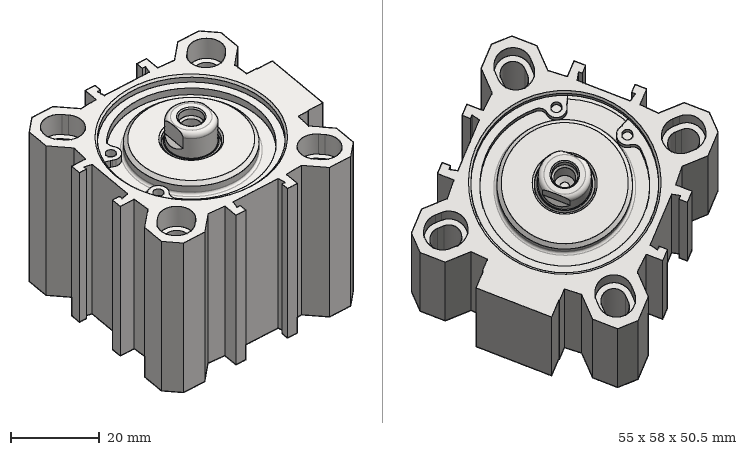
import cadquery as cq
import math

HOUSING_HEIGHT = 44.5
EAR_REACH = 27.5
EAR_CHAMFER = 3.55
EAR_INNER = 17.85
VALLEY = 23.0
WALL = 23.3

RAIL_OUTER = 8.8
RAIL_LIP = 6.0
RAIL_UNDERCUT = 6.9
RAIL_ROOT = 6.45
RAIL_REACH = 27.3
LIP_UNDERSIDE = 25.3

PORT_REACH = 30.5
PORT_STEP = 26.2
PORT_TIP_HALF = 9.15
PORT_ROOT_HALF = 9.35

SCREW_PLACE = 20.55
SCREW_SHIFT = 1.5
SCREW_DIAMETER = 5.8
POCKET_DIAMETER = 8.6
POCKET_DEPTH = 6.0

BORE_DIAMETER = 42.2
BORE_CHAMFER = 0.5
GROOVE_DIAMETER = 44.7
SEAT_DIAMETER = 41.7

RING_TOP = HOUSING_HEIGHT - 2.0
RING_THICKNESS = 2.0
RING_INNER_RADIUS = 19.1
LUG_RADIUS = 2.45
LUG_CENTRE_RADIUS = 18.4
LUG_ANGLE = 27.9
GAP_HALF_ANGLE = 20.4
LUG_HOLE_DIAMETER = 2.5
LUG_FILLET = 2.05

COVER_TOP = HOUSING_HEIGHT - 0.6
FLANGE_TOP = RING_TOP - RING_THICKNESS
FLANGE_THICKNESS = 5.8
COLLAR_DIAMETER = 30.5
COLLAR_TOP_DIAMETER = 28.55
COLLAR_CHAMFER_HEIGHT = 0.85
COLLAR_ROOT_FILLET = 0.7
COVER_BOTTOM = FLANGE_TOP - FLANGE_THICKNESS
ROD_BORE_CHAMFER = 0.45

ROD_TOP = 50.5
SHANK_DIAMETER = 13.7
SHOULDER_DIAMETER = 12.5
SHOULDER_TOP = COVER_TOP - 0.6
SHOULDER_CONE_HEIGHT = 1.15
TIP_DIAMETER = 12.0
TIP_FILLET = 1.35
FLAT_WIDTH = 10.0
FLAT_LENGTH = 4.5
ENTRY_DIAMETER = 6.6
THREAD_DIAMETER = 6.0
THREAD_DEPTH = 2.25
DRILL_DIAMETER = 4.95
DRILL_DEPTH = 8.7
DRILL_END_DIAMETER = 2.25
DRILL_TIP_HEIGHT = 0.8


def body_of_revolution(profile):
    """Solid turned about Z from (radius, z) points."""
    return cq.Workplane("XZ").polyline(profile).close().revolve(360, (0, 0, 0), (0, 1, 0))


def disc(diameter, bottom, top):
    return cq.Workplane("XY", origin=(0, 0, bottom)).circle(diameter / 2).extrude(top - bottom)


def profile_core():
    """Walls and corner ears: one side of the outline, repeated on all four sides."""
    valley_place = EAR_INNER - (EAR_REACH - VALLEY)
    ear_edge = EAR_REACH - EAR_CHAMFER
    half_side = [
        (RAIL_OUTER, WALL),
        (valley_place, VALLEY),
        (EAR_INNER, EAR_REACH),
        (ear_edge, EAR_REACH),
    ]
    side = [(-along, out) for along, out in reversed(half_side)] + half_side
    outline = []
    for _ in range(4):
        outline += side
        side = [(out, -along) for along, out in side]
    return cq.Workplane("XY").polyline(outline).close().extrude(HOUSING_HEIGHT)


def rail_pair():
    """Two mirrored slot rails on the +Y side."""
    profile = [
        (RAIL_OUTER, VALLEY),
        (RAIL_OUTER, RAIL_REACH),
        (RAIL_LIP, RAIL_REACH),
        (RAIL_LIP, LIP_UNDERSIDE),
        (RAIL_UNDERCUT, LIP_UNDERSIDE),
        (RAIL_ROOT, WALL),
        (RAIL_ROOT, VALLEY),
    ]
    rail = cq.Workplane("XY").polyline(profile).close().extrude(HOUSING_HEIGHT)
    return rail.union(rail.mirror("YZ"))


def port_block():
    half = [
        (PORT_ROOT_HALF, VALLEY),
        (PORT_ROOT_HALF, PORT_STEP),
        (PORT_TIP_HALF, PORT_STEP),
        (PORT_TIP_HALF, PORT_REACH),
    ]
    outline = half + [(-x, y) for x, y in reversed(half)]
    return cq.Workplane("XY").polyline(outline).close().extrude(HOUSING_HEIGHT)


def screw_hole(angle):
    """Slot through one ear with its wider pocket, lying along the diagonal at this angle."""
    place = SCREW_PLACE * math.sqrt(2)

    def slot(diameter, bottom):
        return (
            cq.Workplane("XY", origin=(0, 0, bottom))
            .center(place, 0)
            .slot2D(SCREW_SHIFT + diameter, diameter)
            .extrude(HOUSING_HEIGHT - bottom)
        )

    hole = slot(SCREW_DIAMETER, 0).union(slot(POCKET_DIAMETER, HOUSING_HEIGHT - POCKET_DEPTH))
    return hole.rotate((0, 0, 0), (0, 0, 1), angle)


def cavity():
    """Chamfered bore, ring groove and cover seat, as one turned cutter."""
    bore = BORE_DIAMETER / 2
    groove = GROOVE_DIAMETER / 2
    seat = SEAT_DIAMETER / 2
    return body_of_revolution([
        (0, COVER_BOTTOM),
        (seat, COVER_BOTTOM),
        (seat, FLANGE_TOP),
        (groove, FLANGE_TOP),
        (groove, RING_TOP),
        (bore, RING_TOP),
        (bore, HOUSING_HEIGHT - BORE_CHAMFER),
        (bore + BORE_CHAMFER, HOUSING_HEIGHT),
        (0, HOUSING_HEIGHT),
    ])


def make_housing():
    housing = profile_core().union(port_block())
    for angle in (90, 180, 270):
        housing = housing.union(rail_pair().rotate((0, 0, 0), (0, 0, 1), angle))
    for angle in (45, 135, 225, 315):
        housing = housing.cut(screw_hole(angle))
    return housing.cut(cavity())


def polar_from_front(radius, angle):
    """Point at this radius, at an angle in degrees from -Y towards +X."""
    turn = math.radians(angle)
    return (radius * math.sin(turn), -radius * math.cos(turn))


def make_retaining_ring():
    """Open ring with a drilled lug beside each end of its gap."""
    ring = disc(GROOVE_DIAMETER, FLANGE_TOP, RING_TOP)
    ring = ring.cut(disc(2 * RING_INNER_RADIUS, FLANGE_TOP, RING_TOP))
    lug_places = [polar_from_front(LUG_CENTRE_RADIUS, sign * LUG_ANGLE) for sign in (-1, 1)]
    plane = cq.Workplane("XY", origin=(0, 0, FLANGE_TOP))
    ring = ring.union(plane.pushPoints(lug_places).circle(LUG_RADIUS).extrude(RING_THICKNESS))
    gap = [(0, 0)] + [polar_from_front(GROOVE_DIAMETER, sign * GAP_HALF_ANGLE) for sign in (-1, 1)]
    ring = ring.cut(plane.polyline(gap).close().extrude(RING_THICKNESS))
    ring = ring.cut(plane.pushPoints(lug_places).circle(LUG_HOLE_DIAMETER / 2).extrude(RING_THICKNESS))
    middle = RING_TOP - RING_THICKNESS / 2
    for x, y in lug_blend_corners():
        corner_edge = ring.edges(cq.selectors.NearestToPointSelector((x, y, middle)))
        ring = corner_edge.fillet(LUG_FILLET)
    return ring


def lug_blend_corners():
    """Points where the far side of each lug meets the inner edge of the ring."""
    cosine = (RING_INNER_RADIUS**2 + LUG_CENTRE_RADIUS**2 - LUG_RADIUS**2) / (
        2 * RING_INNER_RADIUS * LUG_CENTRE_RADIUS
    )
    corner_angle = LUG_ANGLE + math.degrees(math.acos(cosine))
    return [polar_from_front(RING_INNER_RADIUS, sign * corner_angle) for sign in (-1, 1)]


def make_rod_cover():
    """Flange in the housing seat with a raised collar around the rod."""
    collar = COLLAR_DIAMETER / 2
    shank = SHANK_DIAMETER / 2
    root = collar + COLLAR_ROOT_FILLET
    seat = SEAT_DIAMETER / 2
    return (
        cq.Workplane("XZ")
        .moveTo(shank, COVER_BOTTOM)
        .lineTo(seat, COVER_BOTTOM)
        .lineTo(seat, FLANGE_TOP)
        .lineTo(root, FLANGE_TOP)
        .radiusArc((collar, FLANGE_TOP + COLLAR_ROOT_FILLET), COLLAR_ROOT_FILLET)
        .lineTo(collar, COVER_TOP - COLLAR_CHAMFER_HEIGHT)
        .lineTo(COLLAR_TOP_DIAMETER / 2, COVER_TOP)
        .lineTo(shank + ROD_BORE_CHAMFER, COVER_TOP)
        .lineTo(shank, COVER_TOP - ROD_BORE_CHAMFER)
        .close()
        .revolve(360, (0, 0, 0), (0, 1, 0))
    )


def rod_end_hole():
    """Countersunk thread hole stepping down to a drilled hole with a conical end."""
    entry = ENTRY_DIAMETER / 2
    thread = THREAD_DIAMETER / 2
    drill = DRILL_DIAMETER / 2
    thread_end = ROD_TOP - THREAD_DEPTH
    drill_end = ROD_TOP - DRILL_DEPTH
    return body_of_revolution([
        (0, ROD_TOP),
        (entry, ROD_TOP),
        (thread, ROD_TOP - (entry - thread)),
        (thread, thread_end),
        (drill, thread_end - (thread - drill)),
        (drill, drill_end),
        (DRILL_END_DIAMETER / 2, drill_end - DRILL_TIP_HEIGHT),
        (0, drill_end - DRILL_TIP_HEIGHT),
    ])


def wrench_flat():
    """Cutter for the wrench flat on the -Y side, ending in a 45 degree slope."""
    flat = FLAT_WIDTH / 2
    tip = TIP_DIAMETER / 2
    flat_bottom = ROD_TOP - FLAT_LENGTH
    return (
        cq.Workplane("YZ", origin=(-tip, 0, 0))
        .polyline([
            (-flat, ROD_TOP),
            (-flat, flat_bottom),
            (-tip, flat_bottom - (tip - flat)),
            (-tip, ROD_TOP),
        ])
        .close()
        .extrude(TIP_DIAMETER)
    )


def make_rod():
    shank = SHANK_DIAMETER / 2
    shoulder = SHOULDER_DIAMETER / 2
    rod = body_of_revolution([
        (0, COVER_BOTTOM),
        (shank, COVER_BOTTOM),
        (shank, SHOULDER_TOP - SHOULDER_CONE_HEIGHT),
        (shoulder, SHOULDER_TOP),
        (0, SHOULDER_TOP),
    ])
    tip = disc(TIP_DIAMETER, SHOULDER_TOP, ROD_TOP).faces(">Z").edges().fillet(TIP_FILLET)
    rod = rod.union(tip).cut(rod_end_hole())
    flat = wrench_flat()
    return rod.cut(flat).cut(flat.mirror("XZ"))


housing = make_housing()
rod_cover = make_rod_cover()
retaining_ring = make_retaining_ring()
rod = make_rod()

result = cq.Compound.makeCompound([
    housing.val(),
    rod_cover.val(),
    retaining_ring.val(),
    rod.val(),
])